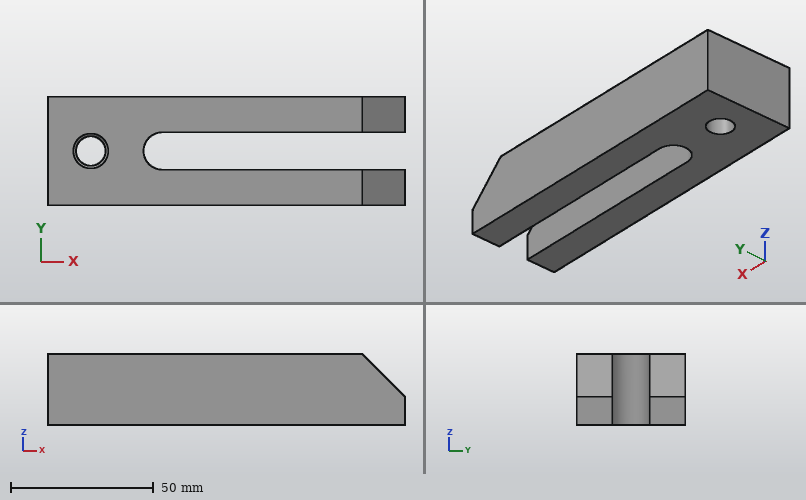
import cadquery as cq

length = 125.0
width = 38.0
height = 25.0
nose_bevel = 15.0

slot_width = 13.0
slot_center_x = 40.0

hole_x = 15.0
hole_diameter = 10.2
countersink_diameter = 12.2
countersink_depth = (countersink_diameter - hole_diameter) / 2


def make_block():
    """Block centred on Y, with its upper +X edge bevelled."""
    block = cq.Workplane("XY").box(length, width, height, centered=(False, True, False))
    return block.edges(">X and >Z").chamfer(nose_bevel)


def make_slot():
    """Through slot with a round inner end, open at the +X end."""
    slot_length = length - slot_center_x
    straight = (
        cq.Workplane("XY")
        .center(slot_center_x, 0)
        .box(slot_length, slot_width, height, centered=(False, True, False))
    )
    round_end = cq.Workplane("XY").center(slot_center_x, 0).circle(slot_width / 2).extrude(height)
    return straight.union(round_end)


def make_hole():
    """Through hole with a 45 degree countersink at the top."""
    hole = cq.Workplane("XY").center(hole_x, 0).circle(hole_diameter / 2).extrude(height)
    countersink = (
        cq.Workplane("XY", origin=(hole_x, 0, height))
        .circle(countersink_diameter / 2)
        .workplane(offset=-countersink_depth)
        .circle(hole_diameter / 2)
        .loft(ruled=True)
    )
    return hole.union(countersink)


result = make_block().cut(make_slot()).cut(make_hole())